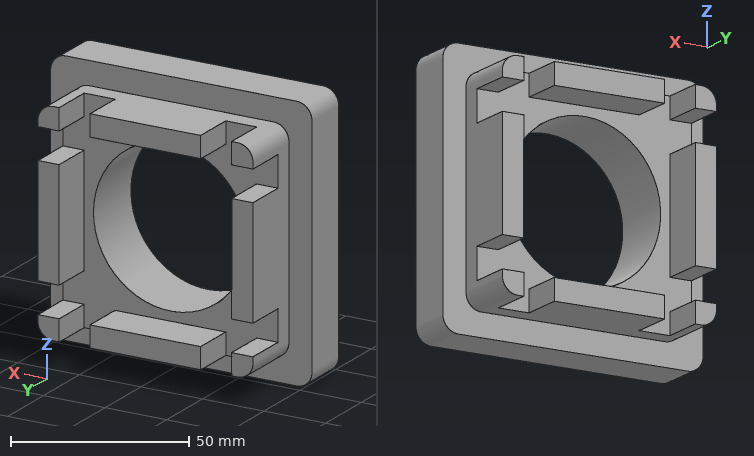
import cadquery as cq

plate_side = 85.0
plate_depth = 15.0
total_depth = 35.0
corner_radius = 5.0
bore_diameter = 50.0

rim_side = 69.95
rim_wall = 7.0
slot_width = 10.0
slot_depth = 14.0

rim_depth = total_depth - plate_depth
rim_inner_side = rim_side - 2 * rim_wall
slot_floor_y = total_depth - slot_depth
slot_offset = (rim_inner_side - slot_width) / 2


def square_block(side, y_start, depth):
    """Square block centred on the Y axis, reaching from y_start towards +Y."""
    return cq.Workplane("XY").box(side, depth, side).translate((0, y_start + depth / 2, 0))


def rounded_block(side, y_start, depth):
    """Square block with its four corners along Y rounded."""
    return square_block(side, y_start, depth).edges("|Y").fillet(corner_radius)


plate = rounded_block(plate_side, 0, plate_depth)
rim = rounded_block(rim_side, plate_depth, rim_depth)
rim = rim.cut(square_block(rim_inner_side, slot_floor_y, slot_depth))
body = plate.union(rim)

bore = cq.Workplane("XZ").circle(bore_diameter / 2).extrude(-slot_floor_y)
body = body.cut(bore)

slot_y = slot_floor_y + slot_depth / 2
for offset in (-slot_offset, slot_offset):
    upright_slot = cq.Workplane("XY").box(slot_width, slot_depth, rim_side)
    level_slot = cq.Workplane("XY").box(rim_side, slot_depth, slot_width)
    body = body.cut(upright_slot.translate((offset, slot_y, 0)))
    body = body.cut(level_slot.translate((0, slot_y, offset)))

result = body